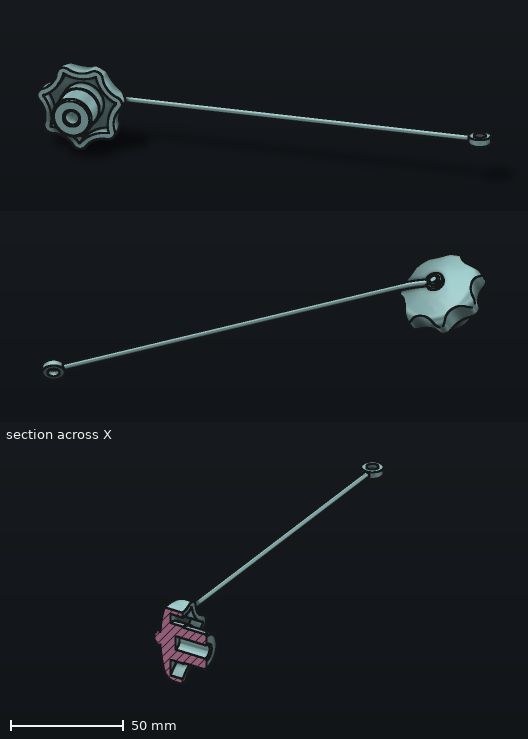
import cadquery as cq
import math

TOTAL_LENGTH = 205.5

LOBES = 7
LOBE_PITCH = 2 * math.pi / LOBES
FIRST_LOBE = -math.pi / 2
TIP_RADIUS = 3.5
KNOB_HEIGHT = 38.5
LOBE_CENTRE = (KNOB_HEIGHT - 2 * TIP_RADIUS) / (1 + math.cos(LOBE_PITCH / 2))
KNOB_RADIUS = LOBE_CENTRE + TIP_RADIUS
VALLEY_RADIUS = 16.5
SKIRT_Y = -15.0
DOME_TOP_Y = -3.0
SHOULDER_RADIUS = 15.6
SHOULDER_Y = -5.1
RIM_Y = -10.7
POCKET_FLOOR_Y = -8.6
POCKET_TIP_RADIUS = 17.3
POCKET_VALLEY_RADIUS = 13.8

HUB_DIAMETER = 18.0
HUB_END_Y = -27.8
HUB_CHAMFER = 0.8
COLLAR_DIAMETER = 19.0
COLLAR_PROJECTION = 0.5
BORE_DIAMETER = 6.5
BORE_MOUTH_DIAMETER = 8.0
BORE_DEPTH = 16.5

NECK_DIAMETER = 6.5
CAP_DIAMETER = 8.0
CAP_BOTTOM_Y = -2.9
CAP_TOP_Y = -1.0
BUTTON_DIAMETER = 5.3
BUTTON_TOP_Y = 0.0
BUTTON_EDGE_HEIGHT = 0.2

ROD_DIAMETER = 3.0
BEND_START_X = 16.0
BEND_RADIUS = 49.3
BEND_END_X = 3.0
EYE_DIAMETER = 10.3
EYE_HOLE_DIAMETER = 5.3
EYE_THICKNESS = 3.5

leftmost_reach = LOBE_CENTRE * math.cos(LOBE_PITCH / 4) + TIP_RADIUS
EYE_X = TOTAL_LENGTH - leftmost_reach - EYE_DIAMETER / 2

valley_gap = VALLEY_RADIUS - TIP_RADIUS
SCALLOP_CENTRE = (LOBE_CENTRE**2 - valley_gap**2) / (
    2 * (LOBE_CENTRE * math.cos(LOBE_PITCH / 2) - valley_gap)
)
SCALLOP_RADIUS = SCALLOP_CENTRE - VALLEY_RADIUS


def polar(radius, angle):
    return (radius * math.cos(angle), radius * math.sin(angle))


def tangent_point(lobe_angle, side):
    """Point where a lobe tip meets the scallop on its given side (-1 or +1)."""
    lobe = polar(LOBE_CENTRE, lobe_angle)
    scallop = polar(SCALLOP_CENTRE, lobe_angle + side * LOBE_PITCH / 2)
    share = TIP_RADIUS / (TIP_RADIUS + SCALLOP_RADIUS)
    return tuple(a + share * (b - a) for a, b in zip(lobe, scallop))


def plane_at(y):
    """XZ sketch plane at the given Y; positive extrusion goes toward -Y."""
    return cq.Workplane("XZ", origin=(0, y, 0))


def cylinder(diameter, start_y, end_y):
    return plane_at(start_y).circle(diameter / 2).extrude(start_y - end_y)


def star_prism():
    outline = plane_at(DOME_TOP_Y).moveTo(*tangent_point(FIRST_LOBE, -1))
    for i in range(LOBES):
        angle = FIRST_LOBE + i * LOBE_PITCH
        outline = outline.threePointArc(polar(KNOB_RADIUS, angle), tangent_point(angle, 1))
        outline = outline.threePointArc(
            polar(VALLEY_RADIUS, angle + LOBE_PITCH / 2),
            tangent_point(angle + LOBE_PITCH, -1),
        )
    return outline.close().extrude(DOME_TOP_Y - SKIRT_Y)


def dome_body():
    """Turned envelope: shallow crown, rounded shoulder, straight rim."""
    crown_mid = (SHOULDER_RADIUS / 2, DOME_TOP_Y + (SHOULDER_Y - DOME_TOP_Y) / 4)
    return (
        cq.Workplane("XY")
        .moveTo(0, DOME_TOP_Y)
        .threePointArc(crown_mid, (SHOULDER_RADIUS, SHOULDER_Y))
        .tangentArcPoint((KNOB_RADIUS, RIM_Y), relative=False)
        .lineTo(KNOB_RADIUS, SKIRT_Y)
        .lineTo(0, SKIRT_Y)
        .close()
        .revolve(360, (0, 0, 0), (0, 1, 0))
    )


def star_pocket():
    """Recess under the knob, with sharp corners inside the lobe tips."""
    outline = plane_at(POCKET_FLOOR_Y).moveTo(*polar(POCKET_TIP_RADIUS, FIRST_LOBE))
    for i in range(LOBES):
        angle = FIRST_LOBE + i * LOBE_PITCH
        outline = outline.threePointArc(
            polar(POCKET_VALLEY_RADIUS, angle + LOBE_PITCH / 2),
            polar(POCKET_TIP_RADIUS, angle + LOBE_PITCH),
        )
    return outline.close().extrude(POCKET_FLOOR_Y - SKIRT_Y)


def hub():
    barrel = cylinder(HUB_DIAMETER, POCKET_FLOOR_Y, HUB_END_Y).faces("<Y").chamfer(HUB_CHAMFER)
    return barrel.union(cylinder(COLLAR_DIAMETER, POCKET_FLOOR_Y, SKIRT_Y - COLLAR_PROJECTION))


def bore():
    mouth_chamfer = (BORE_MOUTH_DIAMETER - BORE_DIAMETER) / 2
    hole = cylinder(BORE_DIAMETER, HUB_END_Y + BORE_DEPTH, HUB_END_Y)
    mouth = cq.Workplane(
        cq.Solid.makeCone(
            BORE_MOUTH_DIAMETER / 2,
            BORE_DIAMETER / 2,
            mouth_chamfer,
            cq.Vector(0, HUB_END_Y, 0),
            cq.Vector(0, 1, 0),
        )
    )
    return hole.union(mouth)


def fastening():
    neck = cylinder(NECK_DIAMETER, CAP_BOTTOM_Y, SHOULDER_Y)
    cap = cylinder(CAP_DIAMETER, CAP_TOP_Y, CAP_BOTTOM_Y)
    button = cylinder(BUTTON_DIAMETER, BUTTON_TOP_Y, CAP_TOP_Y).faces(">Y").chamfer(
        BUTTON_TOP_Y - CAP_TOP_Y - BUTTON_EDGE_HEIGHT
    )
    return neck.union(cap).union(button)


def bend_point(x):
    """Point of the bend arc, which leaves the straight rod tangentially."""
    run = BEND_START_X - x
    return (x, math.sqrt(BEND_RADIUS**2 - run**2) - BEND_RADIUS)


def rod():
    path = (
        cq.Workplane("XY")
        .moveTo(EYE_X, 0)
        .lineTo(BEND_START_X, 0)
        .threePointArc(bend_point((BEND_START_X + BEND_END_X) / 2), bend_point(BEND_END_X))
    )
    return cq.Workplane("YZ", origin=(EYE_X, 0, 0)).circle(ROD_DIAMETER / 2).sweep(path)


def eye_cylinder(diameter):
    return (
        cq.Workplane("XY")
        .center(EYE_X, 0)
        .circle(diameter / 2)
        .extrude(EYE_THICKNESS / 2, both=True)
    )


knob = star_prism().intersect(dome_body()).cut(star_pocket()).union(hub()).cut(bore())
tether = rod().union(eye_cylinder(EYE_DIAMETER)).cut(eye_cylinder(EYE_HOLE_DIAMETER))
result = knob.union(fastening()).union(tether)